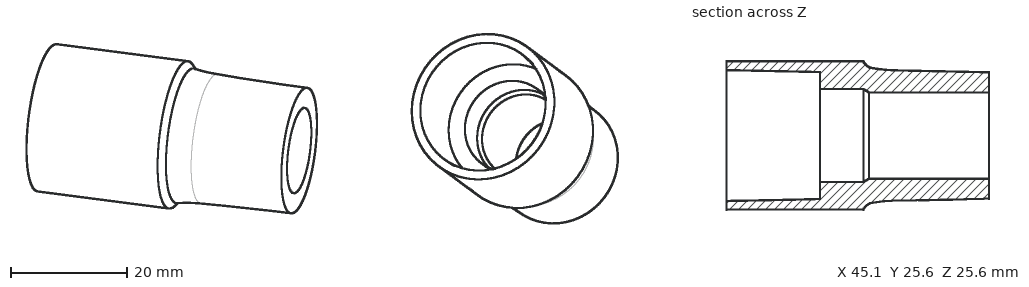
import cadquery as cq

length = 45.15
body_diameter = 25.6
body_length = 23.5

taper_length = 16.05
taper_large_diameter = 22.5
taper_small_diameter = 21.8

shoulder_end = 24.7
shoulder_diameter = 23.4
shoulder_sag = 0.15
neck_sag = 0.1

bore_large_diameter = 16.0
bore_small_diameter = 14.8
bore_cone_length = 1.0

spigot_start = length - taper_length
axis_direction = (1, 0, 0)


def revolve_about_x(profile):
    """Turn a closed half profile in the XY plane into a solid around X."""
    return profile.close().revolve(360, (0, 0, 0), axis_direction)


def outer_body():
    body_edge = (body_length, body_diameter / 2)
    shoulder_edge = (shoulder_end, shoulder_diameter / 2)
    spigot_edge = (spigot_start, taper_large_diameter / 2)
    profile = (
        cq.Workplane("XY")
        .lineTo(0, body_diameter / 2)
        .lineTo(*body_edge)
        .sagittaArc(shoulder_edge, -shoulder_sag)
        .sagittaArc(spigot_edge, -neck_sag)
        .lineTo(length, taper_small_diameter / 2)
        .lineTo(length, 0)
    )
    return revolve_about_x(profile)


def inner_cavity():
    profile = (
        cq.Workplane("XY")
        .lineTo(0, taper_large_diameter / 2)
        .lineTo(taper_length, taper_small_diameter / 2)
        .lineTo(taper_length, bore_large_diameter / 2)
        .lineTo(body_length, bore_large_diameter / 2)
        .lineTo(body_length + bore_cone_length, bore_small_diameter / 2)
        .lineTo(length, bore_small_diameter / 2)
        .lineTo(length, 0)
    )
    return revolve_about_x(profile)


result = outer_body().cut(inner_cavity())